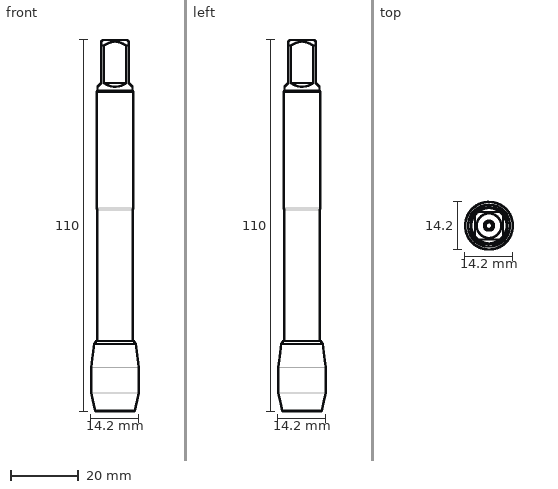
import cadquery as cq
import math

total_height = 110.0
square_bottom = 97.2
shank_top = 94.6
shank_bottom = 59.6
head_top = 20.9
head_shoulder = 19.9
band_top = 13.0
band_bottom = 5.5

neck_diameter = 10.6
shank_diameter = 10.9
collar_diameter = 10.5
square_width = 8.2
end_face_diameter = 7.3
shank_lower_chamfer = 0.5
shank_upper_chamfer = 0.4

center_hole_diameter = 2.0
center_hole_depth = 3.3
countersink_diameter = 3.0
countersink_angle = 60.0
drill_tip_angle = 120.0

head_diameter = 14.2
shoulder_diameter = 12.4
head_top_diameter = 11.0
lead_diameter = 11.9
bottom_chamfer = 0.3


def revolve_profile(profile):
    """Turn a closed (radius, height) outline around the Z axis."""
    return profile.close().revolve(360, (0, 0, 0), (0, 1, 0))


def make_turned_shaft():
    """Neck, shank and collar, with a 45 degree chamfer on the end face."""
    neck_radius = neck_diameter / 2
    shank_radius = shank_diameter / 2
    collar_radius = collar_diameter / 2
    end_radius = end_face_diameter / 2
    end_chamfer = collar_radius - end_radius
    profile = (
        cq.Workplane("XZ")
        .moveTo(0, head_top)
        .lineTo(neck_radius, head_top)
        .lineTo(neck_radius, shank_bottom)
        .lineTo(shank_radius, shank_bottom + shank_lower_chamfer)
        .lineTo(shank_radius, shank_top)
        .lineTo(collar_radius, shank_top + shank_upper_chamfer)
        .lineTo(collar_radius, total_height - end_chamfer)
        .lineTo(end_radius, total_height)
        .lineTo(0, total_height)
    )
    return revolve_profile(profile)


def make_flat_cutter():
    """Material removed for one flat on the +X side, with a 45 degree run-out."""
    flat_distance = square_width / 2
    outer_distance = shank_diameter / 2
    run_out = outer_distance - flat_distance
    return (
        cq.Workplane("XZ")
        .moveTo(flat_distance, total_height)
        .lineTo(flat_distance, square_bottom)
        .lineTo(outer_distance, square_bottom - run_out)
        .lineTo(outer_distance, total_height)
        .close()
        .extrude(shank_diameter / 2, both=True)
    )


def make_center_hole():
    """Drilled hole with a countersunk mouth and a conical bottom."""
    hole_radius = center_hole_diameter / 2
    mouth_radius = countersink_diameter / 2
    mouth_depth = (mouth_radius - hole_radius) / math.tan(math.radians(countersink_angle / 2))
    tip_depth = hole_radius / math.tan(math.radians(drill_tip_angle / 2))
    hole_bottom = total_height - center_hole_depth
    profile = (
        cq.Workplane("XZ")
        .moveTo(0, total_height)
        .lineTo(mouth_radius, total_height)
        .lineTo(hole_radius, total_height - mouth_depth)
        .lineTo(hole_radius, hole_bottom)
        .lineTo(0, hole_bottom - tip_depth)
    )
    return revolve_profile(profile)


def make_shaft():
    """Shaft standing on the head, with a square drive at its upper end."""
    shaft = make_turned_shaft()
    flat_cutter = make_flat_cutter()
    for angle in (0, 90, 180, 270):
        shaft = shaft.cut(flat_cutter.rotate((0, 0, 0), (0, 0, 1), angle))
    return shaft.cut(make_center_hole())


def make_head():
    """Head with a cylindrical band between two tapers."""
    head_radius = head_diameter / 2
    lead_radius = lead_diameter / 2
    profile = (
        cq.Workplane("XZ")
        .lineTo(lead_radius - bottom_chamfer, 0)
        .lineTo(lead_radius, bottom_chamfer)
        .lineTo(head_radius, band_bottom)
        .lineTo(head_radius, band_top)
        .lineTo(shoulder_diameter / 2, head_shoulder)
        .lineTo(head_top_diameter / 2, head_top)
        .lineTo(0, head_top)
    )
    return revolve_profile(profile)


shaft = make_shaft()
head = make_head()
result = cq.Compound.makeCompound([shaft.val(), head.val()])